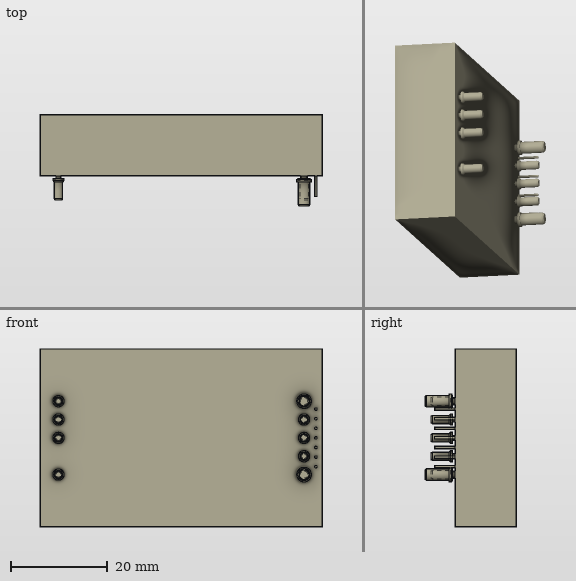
import cadquery as cq

overall_depth = 18.9
housing_width = 58.4
housing_height = 36.8
power_pin_length = 6.25
housing_depth = overall_depth - power_pin_length

column_x = 25.4
pin_pitch = 3.8
signal_x = 27.85
signal_pitch = 2.0
signal_count = 7

collar_start = 0.6
shank_start = 1.3
tip_chamfer_length = 0.35

pin_length = 5.0
pin_neck_radius = 0.5
pin_collar_radius = 1.15
pin_collar_end = 0.95
pin_shank_radius = 0.9
pin_tip_radius = 0.7

power_neck_radius = 0.75
power_collar_radius = 1.5
power_collar_rim_start = 0.75
power_shank_radius = 1.2
power_tip_radius = 1.0

signal_radius = 0.26
signal_length = 4.25


def make_housing():
    """Block with a column of thin signal pins standing on its pin face."""
    block = cq.Workplane("XY").box(
        housing_width, housing_depth, housing_height, centered=(True, False, True)
    )
    signal_pins = (
        cq.Workplane("XZ")
        .center(signal_x, 0)
        .rarray(0.6, signal_pitch, 1, signal_count)
        .circle(signal_radius)
        .extrude(signal_length)
    )
    return block.union(signal_pins)


def turned_pin(profile, x, z):
    """Revolve (radius, distance from the pin face) points into a pin pointing along -Y."""
    pin_length_on_axis = profile[-1][1]
    outline = [(0, 0)]
    outline += [(radius, -distance) for radius, distance in profile]
    outline.append((0, -pin_length_on_axis))
    return (
        cq.Workplane("XY")
        .polyline(outline)
        .close()
        .revolve(360, (0, 0, 0), (0, 1, 0))
        .translate((x, 0, z))
    )


def make_standard_pin(x, z):
    """Pin with a narrow neck, a collar tapering to the shank, and a chamfered tip."""
    profile = [
        (pin_neck_radius, 0),
        (pin_neck_radius, collar_start),
        (pin_collar_radius, collar_start),
        (pin_collar_radius, pin_collar_end),
        (pin_shank_radius, shank_start),
        (pin_shank_radius, pin_length - tip_chamfer_length),
        (pin_tip_radius, pin_length),
    ]
    return turned_pin(profile, x, z)


def make_power_pin(x, z):
    """Pin with a narrow neck, a collar widening away from the face, and a chamfered tip."""
    profile = [
        (power_neck_radius, 0),
        (power_neck_radius, collar_start),
        (power_shank_radius, collar_start),
        (power_collar_radius, power_collar_rim_start),
        (power_collar_radius, shank_start),
        (power_shank_radius, shank_start),
        (power_shank_radius, power_pin_length - tip_chamfer_length),
        (power_tip_radius, power_pin_length),
    ]
    return turned_pin(profile, x, z)


housing = make_housing()

left_rows = [2, 1, 0, -2]
right_rows = [1, 0, -1]
power_rows = [2, -2]

standard_pins = []
for row in left_rows:
    standard_pins.append(make_standard_pin(-column_x, row * pin_pitch))
for row in right_rows:
    standard_pins.append(make_standard_pin(column_x, row * pin_pitch))

power_pins = []
for row in power_rows:
    power_pins.append(make_power_pin(column_x, row * pin_pitch))

result = cq.Compound.makeCompound(
    [
        housing.val(),
        *[pin.val() for pin in standard_pins],
        *[pin.val() for pin in power_pins],
    ]
)